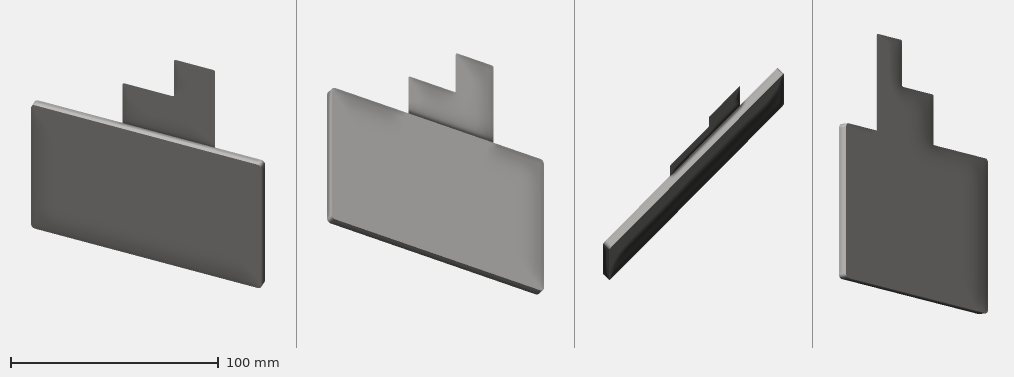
import cadquery as cq

panel_width = 120.7
panel_height = 75.8
panel_thickness = 4.2
panel_corner_radius = 2.0

total_height = 123.2
tail_thickness = 0.1
tail_left = -14.2
tail_step_x = 12.8
tail_right = 34.2
tail_step_z = 100.4
tail_corner_radius = 1.0


def make_panel():
    """Rectangular plate with rounded corners, its back face at Y = panel_thickness."""
    return (
        cq.Workplane("XY")
        .box(panel_width, panel_thickness, panel_height, centered=(True, False, False))
        .edges("|Y")
        .fillet(panel_corner_radius)
    )


def make_tail():
    """L-shaped sheet with rounded free corners and a rounded inner corner."""
    outline = [
        (tail_left, panel_height),
        (tail_left, tail_step_z),
        (tail_step_x, tail_step_z),
        (tail_step_x, total_height),
        (tail_right, total_height),
        (tail_right, panel_height),
    ]
    sheet = (
        cq.Workplane("XZ", origin=(0, panel_thickness, 0))
        .polyline(outline)
        .close()
        .extrude(tail_thickness)
    )
    above_panel = cq.selectors.BoxSelector(
        (-panel_width, -panel_thickness, panel_height + tail_corner_radius),
        (panel_width, 2 * panel_thickness, total_height + tail_corner_radius),
    )
    return sheet.edges("|Y").edges(above_panel).fillet(tail_corner_radius)


result = make_panel().union(make_tail())